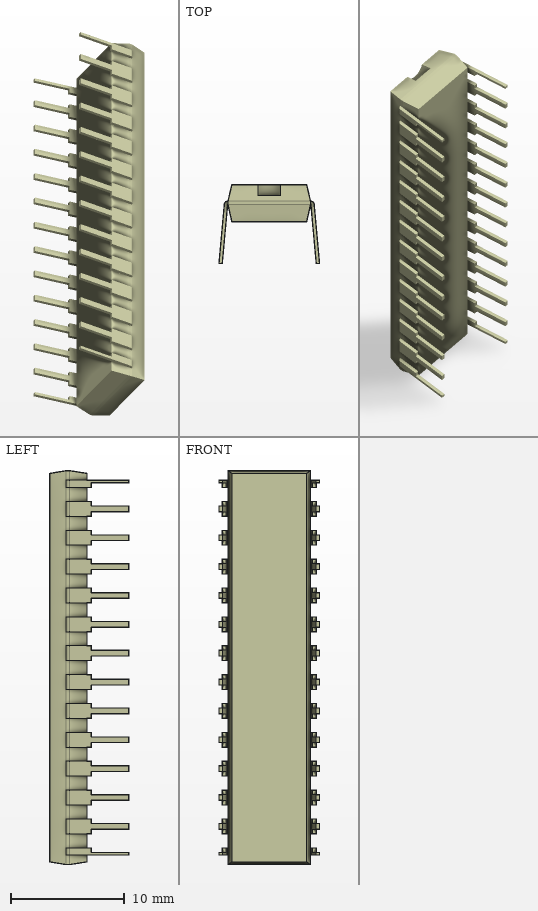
import cadquery as cq
import math

body_length = 34.67
body_width = 7.28
band_thickness = 0.3
side_taper = 0.35
end_taper = 0.25
back_height = 1.45
front_height = 1.53

notch_diameter = 2.0
notch_depth = 0.97

lead_count = 14
lead_row_length = 33.0
lead_thickness = band_thickness
lead_span = 8.88
overall_depth = 6.97
splay_angle = 5.2
shoulder_width = 1.32
tip_width = 0.52
shoulder_drop = 3.68
bend_radius = 0.3
lead_embed = 0.35

half_band = band_thickness / 2
lead_splay = math.radians(splay_angle)
back_y = half_band + back_height
tip_y = back_y - overall_depth
shoulder_y = back_y - shoulder_drop
lead_pitch = lead_row_length / (lead_count - 1)


def tapered_half(height, direction):
    """Half of the body, growing from the band along direction * Y."""
    return (
        cq.Workplane("XZ", origin=(0, direction * half_band, 0))
        .rect(body_width, body_length)
        .workplane(offset=-direction * height)
        .rect(body_width - 2 * side_taper, body_length - 2 * end_taper)
        .loft(combine=True)
    )


def make_body():
    band = cq.Workplane("XY").box(body_width, band_thickness, body_length)
    body = band.union(tapered_half(back_height, 1)).union(tapered_half(front_height, -1))
    notch = (
        cq.Workplane("XZ", origin=(0, back_y, body_length / 2))
        .circle(notch_diameter / 2)
        .extrude(notch_depth)
    )
    return body.cut(notch)


def lead_strip(width):
    """Bent strip of the +X lead, centred on Z = 0."""
    tip_x = lead_span / 2
    drop = half_band - tip_y
    corner_x = tip_x - drop * math.tan(lead_splay)
    strip_x = lead_thickness / math.cos(lead_splay)
    inner_corner_x = corner_x - strip_x + lead_thickness * math.tan(lead_splay)
    root_x = body_width / 2 - lead_embed
    strip = (
        cq.Workplane("XY")
        .polyline([
            (root_x, half_band),
            (corner_x, half_band),
            (tip_x, tip_y),
            (tip_x - strip_x, tip_y),
            (inner_corner_x, -half_band),
            (root_x, -half_band),
        ])
        .close()
        .extrude(width / 2, both=True)
    )
    outer_edge = cq.selectors.NearestToPointSelector((corner_x, half_band, 0))
    return strip.edges("|Z").edges(outer_edge).fillet(bend_radius)


def make_lead():
    """One +X lead: wide down to the shoulder, then narrow to the tip."""
    shoulder_zone = (
        cq.Workplane("XY")
        .box(2 * lead_span, shoulder_drop, shoulder_width, centered=(True, False, True))
        .translate((0, shoulder_y, 0))
    )
    return lead_strip(shoulder_width).intersect(shoulder_zone).union(lead_strip(tip_width))


def add_leads(body):
    """Join both rows of leads; each end lead keeps only its inward half."""
    lead = make_lead()
    row_zone = cq.Workplane("XY").box(2 * lead_span, 2 * overall_depth, lead_row_length)
    for index in range(lead_count):
        lead_z = index * lead_pitch - lead_row_length / 2
        placed_lead = lead.translate((0, 0, lead_z)).intersect(row_zone)
        body = body.union(placed_lead).union(placed_lead.mirror("YZ"))
    return body


result = add_leads(make_body())